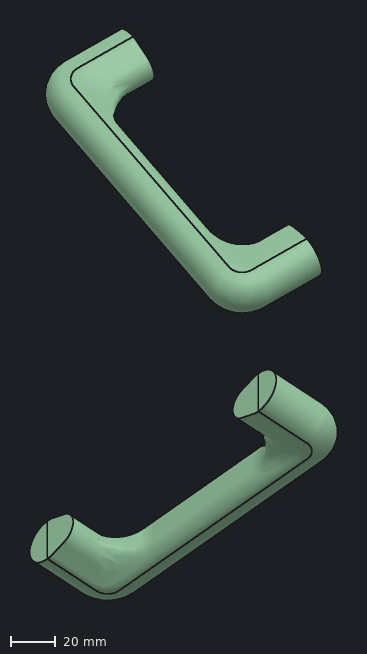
import cadquery as cq
import math

length = 158.0
depth = 49.0
half_height = 11.5

seam_x = length / 2 - half_height
seam_y = half_height
outer_corner_radius = 18.8
seam_corner_radius = outer_corner_radius - half_height

leg_inner_x = 51.0
leg_slope = math.radians(19)
leg_slope_start_x = 65.7
leg_round = 8.7
bar_back_y = 18.2
bar_round = 6.6
bar_slope = math.radians(38)
corner_blend = 19.0
rim_round = 5.0

margin = 0.2


def arc_point(center_u, center_z, radius, angle):
    """Point on an arc, with the angle measured from +Z towards the first coordinate."""
    return (center_u + radius * math.sin(angle), center_z + radius * math.cos(angle))


def mirrored(point):
    return (point[0], -point[1])


def rounded_section(plane, face_u, round_center_z, radius, slope, back_u):
    """Section with a face at face_u, rounded into two straight sides that diverge to back_u."""
    center_u = face_u - radius
    face_end = (face_u, round_center_z)
    round_middle = arc_point(center_u, round_center_z, radius, (slope + math.pi / 2) / 2)
    round_end = arc_point(center_u, round_center_z, radius, slope)
    back = (back_u, round_end[1] + (round_end[0] - back_u) * math.tan(slope))
    return (
        cq.Workplane(plane)
        .moveTo(*mirrored(face_end))
        .lineTo(*face_end)
        .threePointArc(round_middle, round_end)
        .lineTo(*back)
        .lineTo(*mirrored(back))
        .lineTo(*mirrored(round_end))
        .threePointArc(mirrored(round_middle), mirrored(face_end))
        .close()
    )


def seam_outline(workplane):
    """U-shaped seam path, from the left mounting end round to the right one."""
    r = seam_corner_radius
    bend = r * (1 - math.sqrt(0.5))
    return (
        workplane
        .moveTo(-seam_x, depth)
        .lineTo(-seam_x, seam_y + r)
        .threePointArc((-seam_x + bend, seam_y + bend), (-seam_x + r, seam_y))
        .lineTo(seam_x - r, seam_y)
        .threePointArc((seam_x - bend, seam_y + bend), (seam_x, seam_y + r))
        .lineTo(seam_x, depth)
    )


def make_front_shell():
    """Half-round profile swept along the seam."""
    section = (
        cq.Workplane(cq.Plane((-seam_x, depth, 0), xDir=(1, 0, 0), normal=(0, -1, 0)))
        .moveTo(0, half_height)
        .threePointArc((-half_height, 0), (0, -half_height))
        .close()
    )
    return section.sweep(seam_outline(cq.Workplane("XY")))


def make_leg():
    """Left leg; its tilted faces reach the flat-face height at leg_slope_start_x."""
    round_center_x = -leg_inner_x - leg_round
    round_center_z = (
        half_height
        - (round_center_x + leg_slope_start_x) * math.tan(leg_slope)
        - leg_round / math.cos(leg_slope)
    )
    section = rounded_section(
        "XZ", -leg_inner_x, round_center_z, leg_round, leg_slope, -length / 2
    )
    return section.extrude(-depth)


def make_half_bar():
    """Left half of the bar, ending at the middle plane."""
    section = rounded_section(
        "YZ", bar_back_y, half_height - bar_round, bar_round, bar_slope, 0
    )
    return section.extrude(-length / 2)


def make_back_half():
    """Left leg and left half of the bar, blended, rounded at the rim and trimmed to the seam."""
    inner_corner = cq.selectors.BoxSelector(
        (-length / 2 + margin, margin, -depth),
        (-leg_inner_x + margin, bar_back_y + margin, depth),
    )
    blended = make_leg().union(make_half_bar()).edges(inner_corner).fillet(corner_blend)

    flat_faces = cq.Workplane("XY").box(length, 2 * depth, 2 * half_height)
    rim_edges = cq.selectors.BoxSelector(
        (-leg_slope_start_x - margin, seam_y, -depth),
        (-margin, depth - margin, depth),
    )
    rounded = blended.intersect(flat_faces).faces("|Z").edges(rim_edges).fillet(rim_round)

    inside_seam = seam_outline(cq.Workplane("XY")).close().extrude(half_height, both=True)
    return rounded.intersect(inside_seam)


def make_back_body():
    left_half = make_back_half()
    return left_half.union(left_half.mirror("YZ"))


front_shell = make_front_shell()
back_body = make_back_body()

result = cq.Compound.makeCompound([front_shell.val(), *back_body.vals()])